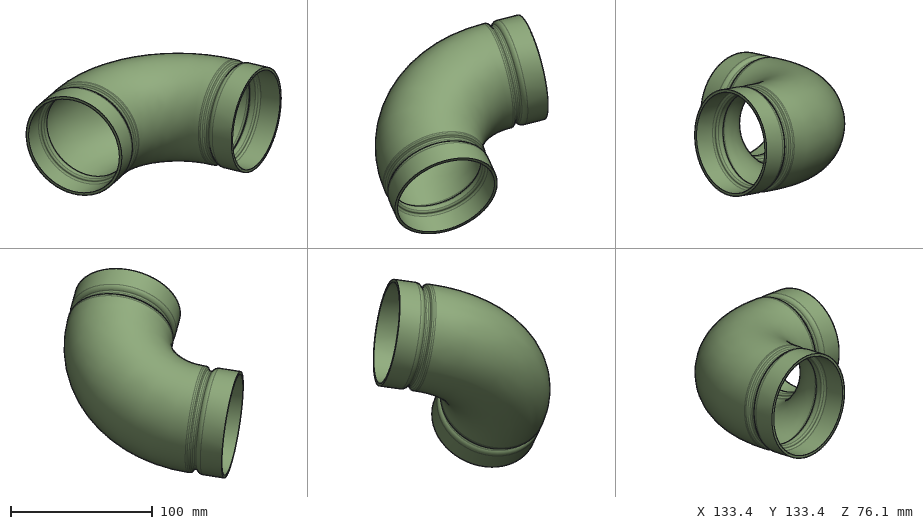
import cadquery as cq
import math

overall_length = 133.4
pipe_diameter = 76.1
wall = 2.0
groove_diameter = 70.4
collar_length = 26.1

pipe_radius = pipe_diameter / 2
groove_radius = groove_diameter / 2
groove_depth = pipe_radius - groove_radius
bore_radius = pipe_radius - wall
leg_length = overall_length - pipe_radius
bend_radius = leg_length - collar_length

groove_start = 15.2
groove_end = 24.8

groove_flank_angle = math.radians(60)
groove_foot_radius = 1.5
groove_back_lip_radius = 1.5
groove_front_lip_radius = groove_depth / (1 - math.cos(groove_flank_angle)) - groove_foot_radius

ring_flank_angle = math.radians(90)
ring_round_radius = groove_depth / 2


def flank(rod_radius, lip_start, inward, lip, foot, angle):
    """Return three points of the lip round, then three of the foot round, from rim to groove floor.

    inward is +1 when the groove lies beyond lip_start along the pipe and -1 when it lies before it.
    """
    floor_radius = rod_radius - groove_depth
    straight_depth = groove_depth - (lip + foot) * (1 - math.cos(angle))
    flank_run = (lip + foot) * math.sin(angle) + straight_depth / math.tan(angle)
    floor_edge = lip_start + inward * flank_run

    def lip_point(turn):
        return (rod_radius - lip * (1 - math.cos(turn)), lip_start + inward * lip * math.sin(turn))

    def foot_point(turn):
        return (floor_radius + foot * (1 - math.cos(turn)), floor_edge - inward * foot * math.sin(turn))

    lip_arc = [lip_point(0), lip_point(angle / 2), lip_point(angle)]
    foot_arc = [foot_point(angle), foot_point(angle / 2), foot_point(0)]
    return lip_arc, foot_arc


def grooved_rod(rod_radius, front_lip_radius, back_lip_radius, foot_radius, angle, back_straight):
    """Solid rod on the Y axis with one groove, its free end at y = 0."""
    front_lip, front_foot = flank(rod_radius, groove_start, 1, front_lip_radius, foot_radius, angle)
    back_lip, back_foot = flank(rod_radius, groove_end, -1, back_lip_radius, foot_radius, angle)
    profile = (
        cq.Workplane("XY")
        .lineTo(rod_radius, 0)
        .lineTo(*front_lip[0])
        .threePointArc(front_lip[1], front_lip[2])
        .threePointArc(front_foot[1], front_foot[2])
        .lineTo(*back_foot[2])
        .threePointArc(back_foot[1], back_foot[0])
    )
    if back_straight:
        profile = profile.lineTo(*back_lip[2])
    return (
        profile.threePointArc(back_lip[1], back_lip[0])
        .lineTo(rod_radius, collar_length)
        .lineTo(0, collar_length)
        .close()
        .revolve(360, (0, 0, 0), (0, 1, 0))
    )


def collar():
    """Straight grooved pipe end at the -Y opening."""
    outside = grooved_rod(
        pipe_radius,
        groove_front_lip_radius,
        groove_back_lip_radius,
        groove_foot_radius,
        groove_flank_angle,
        back_straight=True,
    )
    inside = grooved_rod(
        bore_radius,
        ring_round_radius,
        ring_round_radius,
        ring_round_radius,
        ring_flank_angle,
        back_straight=False,
    )
    return outside.cut(inside).translate((0, -leg_length, 0))


def bend():
    """Quarter-torus tube joining the two collars."""
    return (
        cq.Workplane("XZ", origin=(0, -bend_radius, 0))
        .circle(pipe_radius)
        .circle(bore_radius)
        .revolve(90, (bend_radius, 0, 0), (bend_radius, -1, 0))
    )


lower_collar = collar()
side_collar = lower_collar.rotate((0, 0, 0), (0, 0, 1), 90)
result = bend().union(lower_collar).union(side_collar)